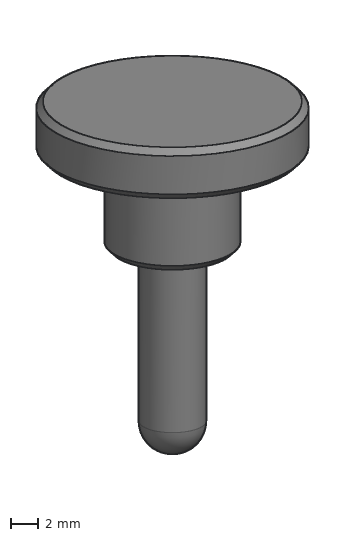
import cadquery as cq
import math

head_diameter = 20.0
head_height = 4.0
collar_diameter = 10.0
collar_height = 7.5
pin_diameter = 5.0
pin_length = 16.0
edge_chamfer = 0.5

collar_bottom = pin_length
head_bottom = collar_bottom + collar_height


def make_disc(diameter, height, bottom):
    """Solid cylinder on the Z axis, standing on the given level."""
    return cq.Workplane("XY").workplane(offset=bottom).circle(diameter / 2).extrude(height)


def make_head():
    """Flat round head, chamfered on both rims."""
    head = make_disc(head_diameter, head_height, head_bottom)
    return head.faces("<Z or >Z").edges().chamfer(edge_chamfer)


def make_collar():
    """Shoulder under the head, chamfered on its lower rim."""
    collar = make_disc(collar_diameter, collar_height, collar_bottom)
    return collar.faces("<Z").edges().chamfer(edge_chamfer)


def make_pin():
    """Straight pin with a hemispherical tip, as a revolved half profile."""
    radius = pin_diameter / 2
    arc_middle = radius * math.sin(math.radians(45))
    profile = (
        cq.Workplane("XZ")
        .moveTo(0, 0)
        .threePointArc((arc_middle, radius - arc_middle), (radius, radius))
        .lineTo(radius, pin_length)
        .lineTo(0, pin_length)
        .close()
    )
    return profile.revolve(360, (0, 0, 0), (0, 1, 0))


result = make_head().union(make_collar()).union(make_pin())